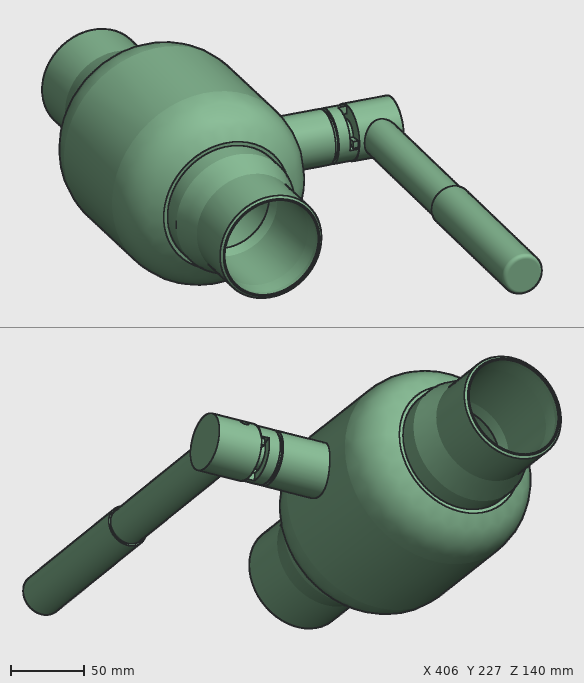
import cadquery as cq
import math


total_length = 406.0
total_width = 227.0

shell_diameter = 140.0
shell_radius = shell_diameter / 2
shell_half_length = 75.0
shell_straight_half = 40.2
shell_end_radius = 47.0
bore_radius = 31.5

valve_length = 300.0
nipple_end = valve_length / 2
nipple_diameter = 76.0
nipple_radius = nipple_diameter / 2
nipple_root_radius = 44.3
cone_start = 89.7
cone_end = 110.0
bevel_width = 2.0
bevel_depth = 1.2
land_width = 1.0
mouth_radius = nipple_radius - bevel_width - land_width
mouth_depth = 4.5
taper_end_depth = 15.5
pipe_bore_radius = 34.0
inner_cone_length = 8.0

neck_radius = 19.5
neck_top = 106.5
groove_width = 2.5
groove_depth = 2.0
collar_top = 124.0
collar_bore_radius = 14.0
stem_radius = 9.7
stem_top = 141.0

slot_depth = 6.5
lug_height = 3.5
lug_start = -13
lug_angle = 17
stop_travel = 90
lug_radius = 18.0

head_diameter = 40.2
head_radius = head_diameter / 2
head_top = total_width - shell_radius
screw_hole_radius = 3.05
screw_hole_height = 134.0
screw_hole_angle = 135
handle_angle = -0.6
rod_height = 141.0
rod_radius = 13.5
rod_end = 251.8
grip_diameter = 29.5
grip_radius = grip_diameter / 2
grip_start = 135.2
grip_edge = 3.0
grip_reach = total_length - nipple_end
grip_end_radius = grip_radius - grip_edge
turn = math.radians(abs(handle_angle))
grip_end = (grip_reach - grip_end_radius * math.sin(turn)) / math.cos(turn)


def disc(radius, bottom, top):
    """Cylinder about the stem axis between two heights."""
    return cq.Workplane("XZ", origin=(0, bottom, 0)).circle(radius).extrude(bottom - top)


def bar(radius, start, end):
    """Cylinder along X on the handle axis."""
    return cq.Workplane("YZ", origin=(start, rod_height, 0)).circle(radius).extrude(end - start)


def turn_about_stem(body, angle):
    """Turn a body about the stem axis, from +X towards +Z."""
    return body.rotate((0, 0, 0), (0, 1, 0), -angle)


def sector(angle, sweep, bottom, top, radius):
    """Wedge about the stem axis that starts at an angle and sweeps towards +Z."""
    wedge = (
        cq.Workplane("XY")
        .moveTo(0, bottom)
        .lineTo(radius, bottom)
        .lineTo(radius, top)
        .lineTo(0, top)
        .close()
        .revolve(sweep, (0, 0, 0), (0, -1, 0))
    )
    return turn_about_stem(wedge, angle)


def sector_pair(angle, sweep, bottom, top, radius):
    """Two wedges on opposite sides of the stem axis."""
    first = sector(angle, sweep, bottom, top, radius)
    return first.union(sector(angle + 180, sweep, bottom, top, radius))


def make_shell():
    """Barrel with rounded shoulders and a straight bore."""
    run = shell_half_length - shell_straight_half
    drop = shell_radius - shell_end_radius
    arc_radius = (run**2 + drop**2) / (2 * drop)
    half_sweep = math.asin(run / arc_radius) / 2
    mid_x = shell_straight_half + arc_radius * math.sin(half_sweep)
    mid_radius = shell_radius - arc_radius * (1 - math.cos(half_sweep))
    return (
        cq.Workplane("XY")
        .moveTo(-shell_half_length, bore_radius)
        .lineTo(-shell_half_length, shell_end_radius)
        .threePointArc((-mid_x, mid_radius), (-shell_straight_half, shell_radius))
        .lineTo(shell_straight_half, shell_radius)
        .threePointArc((mid_x, mid_radius), (shell_half_length, shell_end_radius))
        .lineTo(shell_half_length, bore_radius)
        .close()
        .revolve(360, (0, 0, 0), (1, 0, 0))
    )


def make_nipple(side):
    """Welding end with a bevelled rim and a stepped bore; side is -1 or 1 along X."""
    profile = [
        (shell_half_length, bore_radius),
        (shell_half_length, nipple_root_radius),
        (cone_start, nipple_root_radius),
        (cone_end, nipple_radius),
        (nipple_end - bevel_depth, nipple_radius),
        (nipple_end, nipple_radius - bevel_width),
        (nipple_end, mouth_radius),
        (nipple_end - mouth_depth, mouth_radius),
        (nipple_end - taper_end_depth, pipe_bore_radius),
        (shell_half_length + inner_cone_length, pipe_bore_radius),
    ]
    outline = cq.Workplane("XY").polyline([(side * x, radius) for x, radius in profile]).close()
    return outline.revolve(360, (0, 0, 0), (1, 0, 0))


def make_neck():
    """Tube that stands on the barrel and guides the stem."""
    tube = disc(neck_radius, 0, neck_top).cut(disc(stem_radius, 0, neck_top))
    return tube.cut(barrel)


def make_collar():
    """Ring on the neck with an undercut foot and two stop slots in its top."""
    groove_top = neck_top + groove_width
    ring = disc(neck_radius, groove_top, collar_top)
    ring = ring.union(disc(neck_radius - groove_depth, neck_top, groove_top))
    ring = ring.cut(disc(collar_bore_radius, neck_top, collar_top))
    slot_sweep = stop_travel + lug_angle
    slot_floor = collar_top - slot_depth
    return ring.cut(sector_pair(lug_start, slot_sweep, slot_floor, collar_top, head_radius))


def make_stem():
    """Shaft from the barrel through neck and collar into the head."""
    return disc(stem_radius, 0, stem_top).cut(barrel)


def make_head():
    """Handle boss with a stem socket, a set-screw hole and two stop lugs below."""
    lugs = sector_pair(lug_start, lug_angle, collar_top - lug_height, collar_top, lug_radius)
    boss = disc(head_radius, collar_top, head_top).union(lugs)
    screw_hole = (
        cq.Workplane("YZ", origin=(0, screw_hole_height, 0))
        .circle(screw_hole_radius)
        .extrude(head_radius)
    )
    boss = boss.cut(turn_about_stem(screw_hole, screw_hole_angle))
    return boss.cut(disc(stem_radius, 0, stem_top))


def make_rod():
    """Handle rod whose inner end fits the round side of the head."""
    rod_bar = turn_about_stem(bar(rod_radius, 0, rod_end), handle_angle)
    return rod_bar.cut(disc(head_radius, collar_top, head_top))


def make_grip():
    """Sleeve with a closed, rounded outer end."""
    sleeve = bar(grip_radius, grip_start, grip_end).faces(">X").edges().fillet(grip_edge)
    sleeve = sleeve.cut(bar(rod_radius, grip_start, rod_end))
    return turn_about_stem(sleeve, handle_angle)


barrel = (
    cq.Workplane("YZ", origin=(-shell_straight_half, 0, 0))
    .circle(shell_radius)
    .extrude(2 * shell_straight_half)
)

shell = make_shell()
nipples = [make_nipple(side) for side in (-1, 1)]
neck = make_neck()
collar = make_collar()
stem = make_stem()
head = make_head()
rod = make_rod()
grip = make_grip()

result = cq.Compound.makeCompound(
    [
        shell.val(),
        *[nipple.val() for nipple in nipples],
        neck.val(),
        collar.val(),
        stem.val(),
        head.val(),
        rod.val(),
        grip.val(),
    ]
)